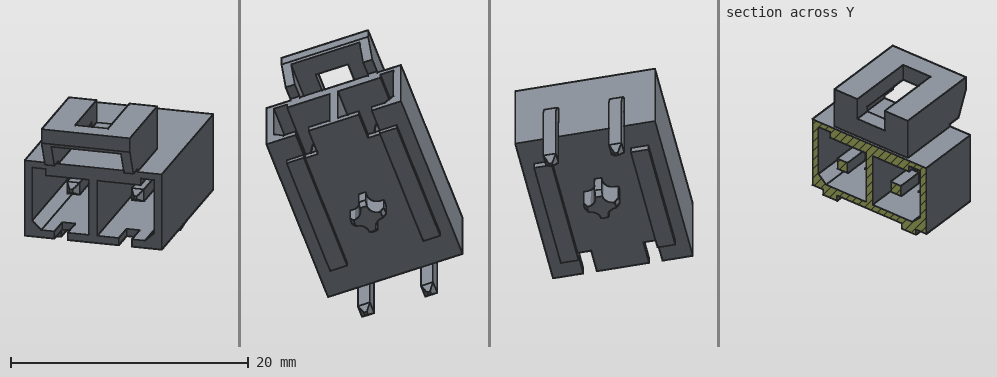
import cadquery as cq
import math


overall_length = 18.64
body_width = 12.05
body_length = 15.32
body_height = 6.77

divider_width = 0.75
cavity_outer_x = 5.35
cavity_floor_z = 0.67
cavity_roof_z = 5.61
cavity_depth = 12.3
cavity_chamfer_x = 0.8
cavity_chamfer_z = 0.76
keyway_width = 1.17
keyway_height = 0.58

pin_pitch = 5.65
pin_size = 1.08
pin_axis_z = 3.3
pin_tip_y = 2.98
pin_back_y = 16.42
pin_bottom_z = -4.14
pin_bend_radius = 2 * pin_size
tip_length = 0.7
tip_size = 0.28

slot_width = 1.15
slot_length = 2.33

latch_width = 7.75
latch_front_y = pin_back_y - overall_length
latch_back_y = 5.9
latch_top_z = 10.57
latch_underside_z = 7.0
latch_nose_z = 9.32
latch_nose_setback = 1.05
latch_wall_thickness = 1.38
latch_opening_width = 6.11
latch_opening_top_z = 9.04
window_width = 2.89
window_front_y = -0.47
window_bottom_z = 8.55

rail_outer_x = 4.92
rail_height = 0.54
rail_front_y = 2.0
rail_back_y = 12.8

peg_y = 8.57
peg_radius = 1.53
peg_bottom_z = -2.01
peg_chamfer_height = 0.52
peg_chamfer_width = 0.32
peg_rib_width = 0.62
peg_flute_radius = 0.9

pin_x = pin_pitch / 2
overlap = 0.19


def block(x_range, y_range, z_range):
    """Axis-aligned box between the given limits."""
    x0, x1 = x_range
    y0, y1 = y_range
    z0, z1 = z_range
    return cq.Workplane("XY").box(x1 - x0, y1 - y0, z1 - z0, centered=False).translate((x0, y0, z0))


def both_sides(shape):
    """The shape together with its mirror image about X = 0."""
    return shape.union(shape.mirror("YZ"))


def make_latch():
    half = latch_width / 2
    profile = [
        (latch_back_y, body_height - overlap),
        (0, body_height - overlap),
        (0, latch_underside_z),
        (latch_front_y + latch_nose_setback, latch_underside_z),
        (latch_front_y, latch_nose_z),
        (latch_front_y, latch_top_z),
        (latch_back_y, latch_top_z),
    ]
    frame = cq.Workplane("YZ").polyline(profile).close().extrude(half, both=True)
    opening = block(
        (-latch_opening_width / 2, latch_opening_width / 2),
        (latch_front_y, latch_back_y - latch_wall_thickness),
        (body_height, latch_opening_top_z),
    )
    window = block(
        (-window_width / 2, window_width / 2),
        (window_front_y, latch_back_y),
        (window_bottom_z, latch_top_z),
    )
    return frame.cut(opening).cut(window)


def make_cavity():
    inner_x = divider_width / 2
    keyway_x = cavity_outer_x - keyway_width
    keyway_top_z = cavity_roof_z + keyway_height
    outline = [
        (inner_x, cavity_floor_z),
        (cavity_outer_x - cavity_chamfer_x, cavity_floor_z),
        (cavity_outer_x, cavity_floor_z + cavity_chamfer_z),
        (cavity_outer_x, keyway_top_z),
        (keyway_x, keyway_top_z),
        (keyway_x, cavity_roof_z),
        (inner_x, cavity_roof_z),
    ]
    return cq.Workplane("XZ").polyline(outline).close().extrude(-cavity_depth)


def make_slot():
    return block(
        (pin_x - slot_width / 2, pin_x + slot_width / 2),
        (0, slot_length),
        (0, cavity_floor_z + overlap),
    )


def make_rail():
    return block(
        (pin_x + slot_width / 2, rail_outer_x),
        (rail_front_y, rail_back_y),
        (-rail_height, 0),
    )


def make_pin():
    """L-shaped square pin with a rounded bend and a tapered tip at each end."""
    half = pin_size / 2
    shank_y = pin_tip_y + tip_length
    leg_z = pin_bottom_z + tip_length
    leg_y = pin_back_y - half
    inner_radius = pin_bend_radius - pin_size
    bend_y = pin_back_y - pin_bend_radius
    bend_z = pin_axis_z + half - pin_bend_radius
    diagonal = math.sqrt(0.5)
    wire = (
        cq.Workplane("YZ", origin=(pin_x - half, 0, 0))
        .moveTo(shank_y, pin_axis_z + half)
        .lineTo(bend_y, pin_axis_z + half)
        .threePointArc(
            (bend_y + pin_bend_radius * diagonal, bend_z + pin_bend_radius * diagonal),
            (pin_back_y, bend_z),
        )
        .lineTo(pin_back_y, leg_z)
        .lineTo(pin_back_y - pin_size, leg_z)
        .lineTo(pin_back_y - pin_size, bend_z)
        .threePointArc(
            (bend_y + inner_radius * diagonal, bend_z + inner_radius * diagonal),
            (bend_y, pin_axis_z - half),
        )
        .lineTo(shank_y, pin_axis_z - half)
        .close()
        .extrude(pin_size)
    )
    front_tip = make_tip(cq.Plane(origin=(pin_x, shank_y, pin_axis_z), xDir=(1, 0, 0), normal=(0, -1, 0)))
    leg_tip = make_tip(cq.Plane(origin=(pin_x, leg_y, leg_z), xDir=(1, 0, 0), normal=(0, 0, -1)))
    return wire.union(front_tip).union(leg_tip)


def make_tip(plane):
    """Truncated pyramid standing on the given plane."""
    return (
        cq.Workplane(plane)
        .rect(pin_size, pin_size)
        .workplane(offset=tip_length)
        .rect(tip_size, tip_size)
        .loft(ruled=True)
    )


def make_peg():
    """Chamfered round peg with four concave flutes that leave a cross of parallel-sided ribs."""
    height = overlap - peg_bottom_z
    peg = (
        cq.Workplane("XY", origin=(0, peg_y, peg_bottom_z))
        .circle(peg_radius)
        .extrude(height)
        .faces("<Z")
        .chamfer(peg_chamfer_height, peg_chamfer_width)
    )
    rib = peg_rib_width / 2
    flute_center = rib + peg_flute_radius
    flute_middle = flute_center - peg_flute_radius * math.sqrt(0.5)
    flute = (
        cq.Workplane("XY", origin=(0, peg_y, peg_bottom_z))
        .moveTo(peg_radius, rib)
        .lineTo(flute_center, rib)
        .threePointArc((flute_middle, flute_middle), (rib, flute_center))
        .lineTo(rib, peg_radius)
        .lineTo(peg_radius, peg_radius)
        .close()
        .extrude(-peg_bottom_z)
    )
    for quarter in range(4):
        peg = peg.cut(flute.rotate((0, peg_y, 0), (0, peg_y, 1), 90 * quarter))
    return peg


housing = block((-body_width / 2, body_width / 2), (0, body_length), (0, body_height))
housing = housing.union(make_latch())
housing = housing.cut(both_sides(make_cavity()))
housing = housing.cut(both_sides(make_slot()))
housing = housing.union(both_sides(make_rail()))
housing = housing.union(make_peg())
result = housing.union(both_sides(make_pin()))